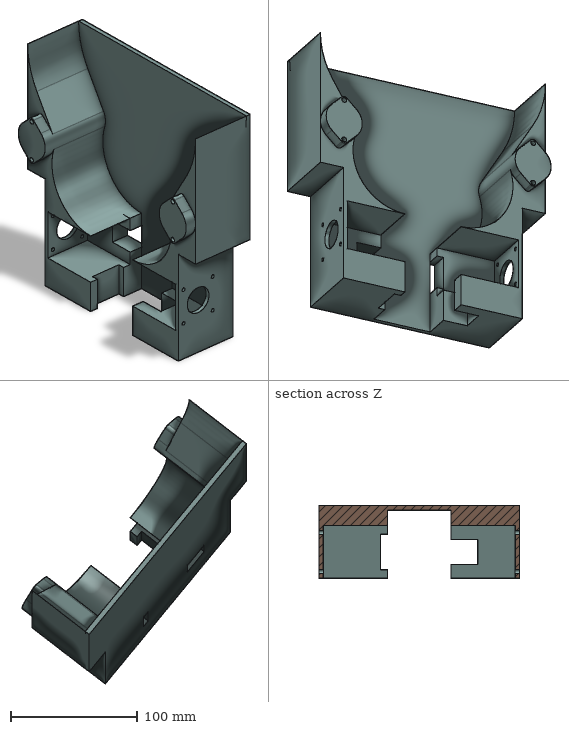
import math

import cadquery as cq


width = 200.0
height = 213.0
depth = 58.0
back_plate = 4.0
base_width = 159.0
shoulder_z = 98.0
channel_width = 50.0

basin_center_x = channel_width / 2
upper_radius = width / 2 - basin_center_x
lower_radius = 46.1

boss_radius = 16.0
boss_length = 10.0
boss_x = width / 2 - boss_radius
boss_z = 134.8
ear_radius = 3.2
ear_spacing = 35.0
ear_hole_diameter = 4.0

pocket_size = 42.3
pocket_center_z = 48.0
pocket_wall = 3.5
pocket_depth = 42.0
motor_hole_diameter = 23.0
screw_spacing = 31.0
screw_diameter = 3.0
pocket_bottom_z = pocket_center_z - pocket_size / 2
pocket_outer_x = base_width / 2 - pocket_wall
motor_axis_y = -depth + pocket_depth / 2

long_opening = (21.2, 19.7)
short_opening = (5.7, 28.0)


def box(x_range, y_range, z_range):
    """Axis-aligned box from the (low, high) limits on each axis."""
    sizes = [high - low for low, high in (x_range, y_range, z_range)]
    corner = (x_range[0], y_range[0], z_range[0])
    return cq.Workplane("XY").box(*sizes, centered=False).translate(corner)


def polar_point(center, radius, angle):
    """Point on a circle at the given angle in radians."""
    return (center[0] + radius * math.cos(angle), center[1] + radius * math.sin(angle))


def mirrored_pair(shape):
    """The shape together with its mirror image across X = 0."""
    return shape.union(shape.mirror("YZ"))


def side_box(side, length, y_range, z_range):
    """Box reaching outward from the channel wall; side is -1 for -X and +1 for +X."""
    wall_x = side * channel_width / 2
    x_range = sorted((wall_x, wall_x + side * length))
    return box(x_range, y_range, z_range)


def make_body():
    half_base = base_width / 2
    base = box((-half_base, half_base), (-depth, 0), (0, shoulder_z))
    head = box((-width / 2, width / 2), (-depth, 0), (shoulder_z, height))
    return base.union(head)


def make_basin():
    """Half outline in XZ with all stretches tangent, cut down to the back plate."""
    center_offset = boss_x - basin_center_x
    drop = math.sqrt((boss_radius + lower_radius) ** 2 - center_offset**2)
    lower_center_z = boss_z - drop

    rise = height - boss_z
    to_upper = math.atan2(rise, -center_offset)
    center_distance = math.hypot(center_offset, rise)
    flank = to_upper + math.acos((upper_radius + boss_radius) / center_distance)
    upper_end = flank - math.pi

    lower_start = math.atan2(drop, center_offset)
    boss_end = lower_start + math.pi
    lower_bottom = -math.pi / 2

    def on_upper(angle):
        return polar_point((basin_center_x, height), upper_radius, angle)

    def on_boss(angle):
        return polar_point((boss_x, boss_z), boss_radius, angle)

    def on_lower(angle):
        return polar_point((basin_center_x, lower_center_z), lower_radius, angle)

    half = (
        cq.Workplane("XZ", origin=(0, -back_plate, 0))
        .moveTo(0, height)
        .lineTo(width / 2, height)
        .threePointArc(on_upper(upper_end / 2), on_upper(upper_end))
        .lineTo(*on_boss(flank))
        .threePointArc(on_boss((flank + boss_end) / 2), on_boss(boss_end))
        .threePointArc(on_lower((lower_start + lower_bottom) / 2), on_lower(lower_bottom))
        .lineTo(0, lower_center_z - lower_radius)
        .close()
        .extrude(depth - back_plate)
    )
    return mirrored_pair(half)


def make_channel():
    half = channel_width / 2
    return box((-half, half), (-depth, -back_plate), (0, shoulder_z))


def make_bosses():
    """Round boss with an ear above and below, joined by common tangents."""
    ear_offset = ear_spacing / 2
    tangent = math.asin((boss_radius - ear_radius) / ear_offset)
    cos_t = math.cos(tangent)
    sin_t = math.sin(tangent)
    ear_x = ear_radius * cos_t
    ear_z = ear_offset + ear_radius * sin_t
    side_x = boss_radius * cos_t
    side_z = boss_radius * sin_t
    ear_tip = ear_offset + ear_radius
    plane = cq.Workplane("XZ", origin=(boss_x, -depth, boss_z))
    boss = (
        plane.moveTo(ear_x, ear_z)
        .threePointArc((0, ear_tip), (-ear_x, ear_z))
        .lineTo(-side_x, side_z)
        .threePointArc((-boss_radius, 0), (-side_x, -side_z))
        .lineTo(-ear_x, -ear_z)
        .threePointArc((0, -ear_tip), (ear_x, -ear_z))
        .lineTo(side_x, -side_z)
        .threePointArc((boss_radius, 0), (side_x, side_z))
        .close()
        .extrude(boss_length)
    )
    holes = (
        plane.pushPoints([(0, ear_offset), (0, -ear_offset)])
        .circle(ear_hole_diameter / 2)
        .extrude(boss_length)
    )
    return mirrored_pair(boss.cut(holes))


def make_pockets():
    z_range = (pocket_bottom_z, pocket_bottom_z + pocket_size)
    pocket = box((0, pocket_outer_x), (-depth, -depth + pocket_depth), z_range)
    return mirrored_pair(pocket)


def make_motor_holes():
    """Shaft opening and four screw holes through each side wall."""
    plane = cq.Workplane("YZ", origin=(-base_width / 2, motor_axis_y, pocket_center_z))
    shaft = plane.circle(motor_hole_diameter / 2).extrude(base_width)
    screws = (
        plane.rect(screw_spacing, screw_spacing, forConstruction=True)
        .vertices()
        .circle(screw_diameter / 2)
        .extrude(base_width)
    )
    return shaft.union(screws)


def make_window(side, opening):
    """Opening through the wall behind the pocket and through the back plate."""
    length, span = opening
    z_range = (pocket_center_z - span / 2, pocket_center_z + span / 2)
    return side_box(side, length, (-depth + pocket_depth, 0), z_range)


def make_floor_slot(side, opening):
    """Opening through the pocket floor."""
    length, span = opening
    y_range = (motor_axis_y - span / 2, motor_axis_y + span / 2)
    return side_box(side, length, y_range, (0, pocket_bottom_z))


result = (
    make_body()
    .cut(make_basin())
    .cut(make_channel())
    .cut(make_pockets())
    .cut(make_motor_holes())
    .cut(make_window(-1, long_opening))
    .cut(make_window(1, short_opening))
    .cut(make_floor_slot(-1, short_opening))
    .cut(make_floor_slot(1, long_opening))
    .union(make_bosses())
)